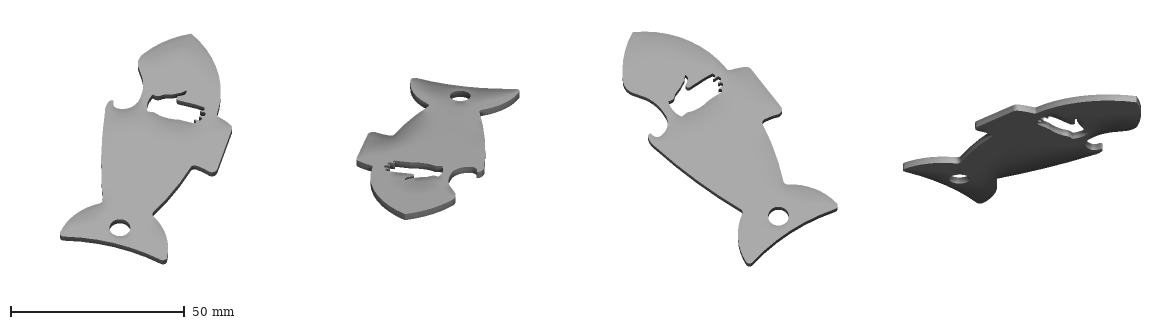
import cadquery as cq


length = 79.85
thickness = 2.0
fin_x = 20.9

nose = (0, length)
neck_half_width = 7.2
neck_y = 14.85
flank_bulge = (10.8, 23.95)
fluke_bulge = (13.3, 9.1)
fluke_tip = (16.1, -0.4)
tail_hollow_y = 1.9

neck_radius = 1.3
fluke_tip_radius = 1.2
fin_front_radius = 1.6
fin_rear_radius = 1.6
fin_root_front_radius = 0.8
fin_root_rear_radius = 1.3

tail_hole_diameter = 6.0
tail_hole_y = 7.7

fin_root_front = (15.25, 53.8)
fin_root_rear = (13.6, 35.2)
fin_front = (fin_x, 51.35)
fin_rear = (fin_x, 33.15)

neck_right = (neck_half_width, neck_y)
neck_left = (-neck_half_width, neck_y)


def mirrored(point):
    """Same point on the other side of the fish."""
    return (-point[0], point[1])


def outline():
    """Closed outline, clockwise from the nose; corners rounded later are sharp here."""
    return (
        cq.Workplane("XY")
        .moveTo(*nose)
        .threePointArc((11.1, 69.15), fin_root_front)
        .threePointArc((18.5, 52.7), fin_front)
        .lineTo(*fin_rear)
        .threePointArc((16.7, 34.8), fin_root_rear)
        .threePointArc(flank_bulge, neck_right)
        .threePointArc(fluke_bulge, fluke_tip)
        .threePointArc((0, tail_hollow_y), mirrored(fluke_tip))
        .threePointArc(mirrored(fluke_bulge), neck_left)
        .threePointArc((-12.1, 29.55), (-15.9, 46.1))
        .threePointArc((-16.2, 48.3), (-15.9, 49.8))
        .threePointArc((-15.4, 50.5), (-14.6, 50.6))
        .lineTo(-14.4, 49.5)
        .threePointArc((-13.8, 48.6), (-12.6, 48.2))
        .threePointArc((-9.3, 49.7), (-7.7, 53.2))
        .threePointArc((-7.75, 56.95), (-9.1, 60.85))
        .lineTo(-11.0, 63.8)
        .threePointArc((-11.9, 66.3), (-11.1, 69.15))
        .threePointArc((-6.2, 75.4), nose)
        .close()
    )


def round_corner(plate, corner, radius):
    """Fillet the upright edge standing at one corner of the outline."""
    edge = cq.selectors.NearestToPointSelector((corner[0], corner[1], thickness / 2))
    return plate.edges("|Z").edges(edge).fillet(radius)


def hand_opening():
    """Open hand, fingers toward +X and thumb toward +Y, cut through the plate."""
    return (
        cq.Workplane("XY")
        .moveTo(-4.4, 56.0)
        .threePointArc((-3.1, 55.7), (-2.3, 56.0))
        .lineTo(-1.4, 56.7)
        .lineTo(1.2, 57.65)
        .lineTo(3.3, 58.85)
        .lineTo(4.4, 60.05)
        .threePointArc((4.55, 59.0), (3.7, 57.9))
        .lineTo(2.7, 57.4)
        .threePointArc((2.5, 56.7), (3.5, 56.0))
        .lineTo(8.7, 56.0)
        .lineTo(10.95, 55.75)
        .threePointArc((11.35, 55.1), (11.0, 54.5))
        .lineTo(10.2, 54.2)
        .lineTo(10.55, 54.0)
        .lineTo(11.6, 54.1)
        .threePointArc((12.1, 53.3), (11.5, 52.55))
        .lineTo(10.6, 52.55)
        .lineTo(10.6, 52.1)
        .lineTo(11.2, 52.1)
        .threePointArc((11.6, 51.4), (11.2, 50.9))
        .lineTo(9.9, 50.9)
        .lineTo(9.5, 50.6)
        .lineTo(10.15, 50.4)
        .threePointArc((10.2, 49.8), (9.8, 49.4))
        .lineTo(5.3, 49.4)
        .threePointArc((2.4, 49.0), (-0.5, 49.3))
        .lineTo(-2.2, 49.9)
        .lineTo(-4.15, 49.7)
        .threePointArc((-5.0, 52.5), (-4.4, 56.0))
        .close()
        .extrude(thickness)
    )


rounded_corners = [
    (fin_root_front, fin_root_front_radius),
    (fin_front, fin_front_radius),
    (fin_rear, fin_rear_radius),
    (fin_root_rear, fin_root_rear_radius),
    (neck_right, neck_radius),
    (fluke_tip, fluke_tip_radius),
    (mirrored(fluke_tip), fluke_tip_radius),
    (neck_left, neck_radius),
]

plate = outline().extrude(thickness)
for corner, radius in rounded_corners:
    plate = round_corner(plate, corner, radius)

tail_hole = (
    cq.Workplane("XY")
    .center(0, tail_hole_y)
    .circle(tail_hole_diameter / 2)
    .extrude(thickness)
)

result = plate.cut(tail_hole).cut(hand_opening())